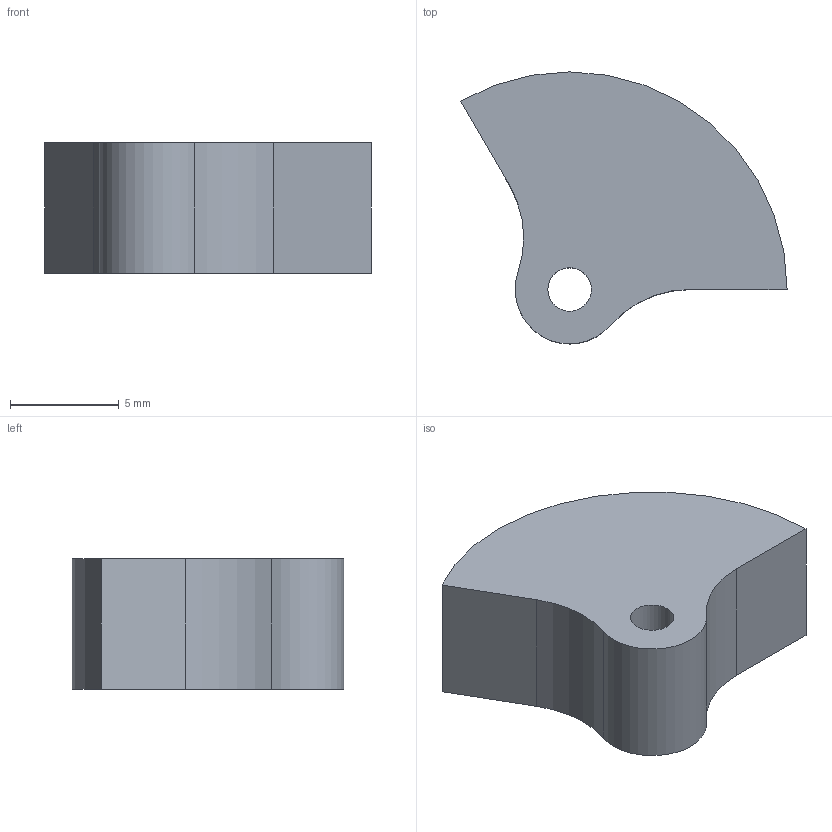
import cadquery as cq
import math

thickness = 6.0
sector_radius = 10.0
sector_angle = 120.0
hub_radius = 2.5
bore_diameter = 2.0
blend_radius = 4.8


def polar(radius, angle):
    """Point at a radius and an angle in degrees from the hub axis."""
    return (
        radius * math.cos(math.radians(angle)),
        radius * math.sin(math.radians(angle)),
    )


blend_centre_distance = hub_radius + blend_radius
flank_start = math.sqrt(blend_centre_distance**2 - blend_radius**2)
hub_tangent_angle = math.degrees(math.asin(blend_radius / blend_centre_distance))

blend_mid_offset = polar(blend_radius, (90.0 + 180.0 - hub_tangent_angle) / 2)
blend_mid_x = flank_start + blend_mid_offset[0]
blend_mid_y = blend_mid_offset[1] - blend_radius

blend_mid_radius = math.hypot(blend_mid_x, blend_mid_y)
blend_mid_angle = math.degrees(math.atan2(-blend_mid_y, blend_mid_x))


def make_sector():
    """Sector with a round hub at its apex; both flanks blend into the hub."""
    outline = (
        cq.Workplane("XY")
        .moveTo(*polar(flank_start, 0))
        .lineTo(*polar(sector_radius, 0))
        .threePointArc(polar(sector_radius, sector_angle / 2), polar(sector_radius, sector_angle))
        .lineTo(*polar(flank_start, sector_angle))
        .threePointArc(
            polar(blend_mid_radius, sector_angle + blend_mid_angle),
            polar(hub_radius, sector_angle + hub_tangent_angle),
        )
        .threePointArc(
            polar(hub_radius, sector_angle / 2 + 180),
            polar(hub_radius, -hub_tangent_angle),
        )
        .threePointArc(polar(blend_mid_radius, -blend_mid_angle), polar(flank_start, 0))
        .close()
    )
    return outline.extrude(thickness)


def make_bore():
    """Through bore on the hub axis."""
    return cq.Workplane("XY").circle(bore_diameter / 2).extrude(thickness)


result = make_sector().cut(make_bore())